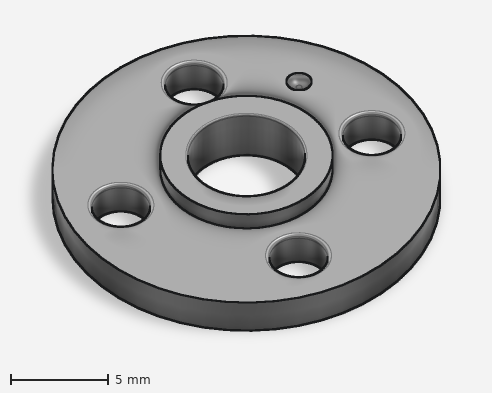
import cadquery as cq
import math

flange_diameter = 20.0
flange_thickness = 2.0
hub_diameter = 8.88
total_height = 3.0

bore_diameter = 6.04
bore_upper_fillet = 0.1
bore_lower_fillet = 0.2

mount_hole_diameter = 3.0
mount_circle_radius = 7.0
mount_hole_count = 4
mount_rim_fillet = 0.2

mark_circle_radius = 7.1
mark_angle = math.radians(135)
mark_diameter = 1.3
mark_flat_diameter = 0.3
mark_depth = 0.4


def make_body():
    flange = cq.Workplane("XY").circle(flange_diameter / 2).extrude(flange_thickness)
    hub = cq.Workplane("XY").circle(hub_diameter / 2).extrude(total_height)
    return flange.union(hub)


def cut_bore(body):
    """Through bore, rounded at both ends."""
    bored = body.cut(cq.Workplane("XY").circle(bore_diameter / 2).extrude(total_height))
    bore_rim = cq.selectors.RadiusNthSelector(0)
    for end_face, radius in ((">Z", bore_upper_fillet), ("<Z", bore_lower_fillet)):
        bored = bored.faces(end_face).edges(bore_rim).fillet(radius)
    return bored


def mount_hole_cutter():
    """Straight hole whose two rims flare out along quarter-rounds."""
    hole_radius = mount_hole_diameter / 2
    rim_radius = hole_radius + mount_rim_fillet
    arc_inset = mount_rim_fillet * (1 - math.sqrt(0.5))
    return (
        cq.Workplane("XZ")
        .lineTo(rim_radius, 0)
        .threePointArc((hole_radius + arc_inset, arc_inset), (hole_radius, mount_rim_fillet))
        .lineTo(hole_radius, flange_thickness - mount_rim_fillet)
        .threePointArc(
            (hole_radius + arc_inset, flange_thickness - arc_inset),
            (rim_radius, flange_thickness),
        )
        .lineTo(0, flange_thickness)
        .close()
        .revolve(360, (0, 0, 0), (0, 1, 0))
    )


def cut_mount_holes(body):
    for index in range(mount_hole_count):
        angle = 2 * math.pi * index / mount_hole_count
        x = mount_circle_radius * math.cos(angle)
        y = mount_circle_radius * math.sin(angle)
        body = body.cut(mount_hole_cutter().translate((x, y, 0)))
    return body


def cut_index_mark(body):
    """Ball-shaped dimple whose lowest part is levelled to a small flat floor."""
    rim_radius = mark_diameter / 2
    flat_radius = mark_flat_diameter / 2
    centre_rise = (rim_radius**2 - flat_radius**2 + mark_depth**2) / (2 * mark_depth)
    ball_radius = math.hypot(flat_radius, centre_rise)
    floor_z = flange_thickness - mark_depth
    ball = cq.Workplane("XY").sphere(ball_radius).translate((0, 0, floor_z + centre_rise))
    above_floor = (
        cq.Workplane("XY").workplane(offset=floor_z).circle(rim_radius).extrude(mark_depth)
    )
    dimple = ball.intersect(above_floor)
    x = mark_circle_radius * math.cos(mark_angle)
    y = mark_circle_radius * math.sin(mark_angle)
    return body.cut(dimple.translate((x, y, 0)))


result = cut_index_mark(cut_mount_holes(cut_bore(make_body())))